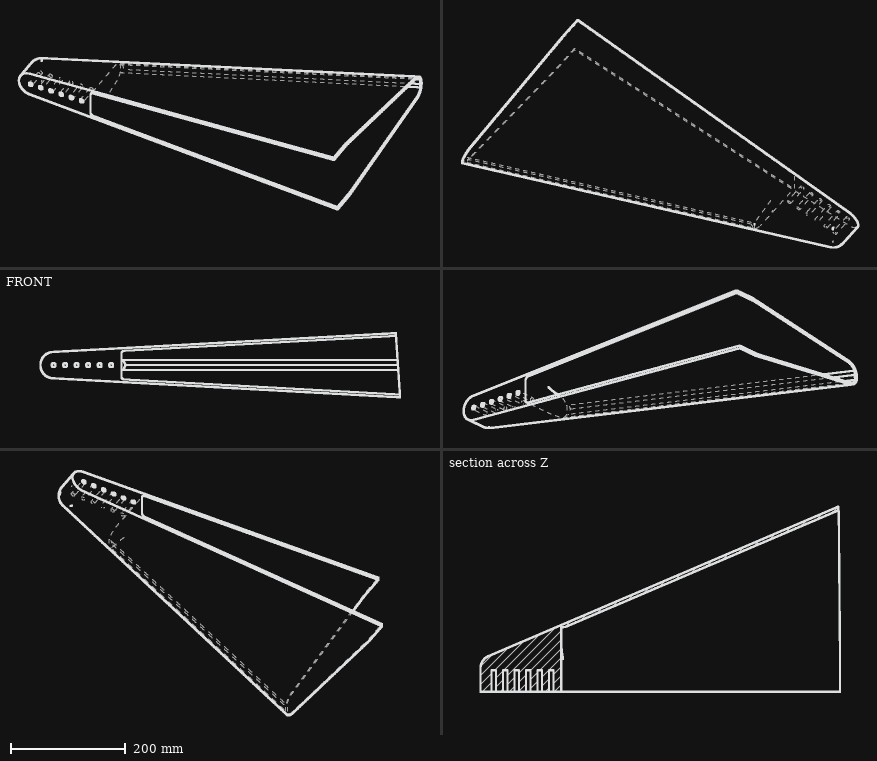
import cadquery as cq
import math

length = 627.0
height = 112.0
depth = 323.0
nose_radius = 23.0
nose_depth = 41.5
end_setback = 7.5
overrun = 19.0

wall = 5.0
channel_radius = 20.0
cavity_x = 141.0
cavity_corner = 5.5
inner_crease_end = 47.5
inner_bend_radius = 44.0
roof_y = 113.0
roof_length = 15.5
ridge_half_width = 9.0
ridge_height = 1.55

hole_diameter = 7.0
hole_pitch = 20.0
hole_count = 6
hole_depth = 37.5

plate_slope = (height / 2 - nose_radius) / (length - end_setback / 2 - nose_radius)
far_x = length + overrun
tip_x = length - end_setback / 2
run = tip_x - nose_radius
rise = depth - nose_depth
sweep_angle = math.atan2(rise, run) - math.asin(nose_radius / math.hypot(run, rise))
sweep_slope = math.tan(sweep_angle)
fan_angle = math.atan(plate_slope / math.sin(sweep_angle))
crease_y = nose_depth + nose_radius * math.tan(fan_angle / 2) / math.cos(sweep_angle)


def plate_z(x):
    """Half height of the outer plates at x."""
    return nose_radius + plate_slope * (x - nose_radius)


def axis_y(x):
    """Depth of the leading edge axis at x."""
    return nose_depth + sweep_slope * (x - nose_radius)


def mirrored_polyhedron(upper):
    """Solid between a flat upper outline, counterclockwise from above, and its mirror image."""
    lower = [(x, y, -z) for x, y, z in upper]
    loops = [upper, lower]
    for i in range(len(upper)):
        j = (i + 1) % len(upper)
        loops.append([upper[i], upper[j], lower[j], lower[i]])
    faces = []
    for loop in loops:
        wire = cq.Wire.makePolygon([cq.Vector(*p) for p in loop], close=True)
        faces.append(cq.Face.makeFromWires(wire))
    return cq.Workplane(cq.Solid.makeSolid(cq.Shell.makeShell(faces)).fix())


def leading_edge_plane():
    """Section plane at the nose: local x points out of the leading edge, local y points down."""
    return cq.Plane(
        origin=(nose_radius, nose_depth, 0),
        xDir=(-math.sin(sweep_angle), math.cos(sweep_angle), 0),
        normal=(math.cos(sweep_angle), math.sin(sweep_angle), 0),
    )


def make_outside():
    band = (
        cq.Workplane("XZ")
        .moveTo(nose_radius, -nose_radius)
        .threePointArc((0, 0), (nose_radius, nose_radius))
        .lineTo(far_x, plate_z(far_x))
        .lineTo(far_x, -plate_z(far_x))
        .close()
        .extrude(-nose_depth)
    )
    strip = mirrored_polyhedron([
        (nose_radius, nose_depth, nose_radius),
        (far_x, nose_depth, plate_z(far_x)),
        (far_x, crease_y, plate_z(far_x)),
        (nose_radius, crease_y, nose_radius),
    ])
    tangent_u = nose_radius * math.sin(fan_angle)
    tangent_v = nose_radius * math.cos(fan_angle)
    fan = mirrored_polyhedron([
        (nose_radius, crease_y, nose_radius),
        (far_x, crease_y, plate_z(far_x)),
        (far_x, axis_y(far_x) + tangent_u / math.cos(sweep_angle), tangent_v),
        (
            nose_radius - tangent_u * math.sin(sweep_angle),
            nose_depth + tangent_u * math.cos(sweep_angle),
            tangent_v,
        ),
    ])
    edge_length = (far_x + nose_radius) / math.cos(sweep_angle)
    edge = cq.Workplane(leading_edge_plane()).circle(nose_radius).extrude(edge_length)
    ball = cq.Workplane("XY").sphere(nose_radius).translate((nose_radius, nose_depth, 0))
    front_space = cq.Workplane("XY").box(
        2 * length, depth, 2 * height, centered=(True, False, True)
    ).translate((0, -depth, 0))
    return band.union(strip).union(fan).union(edge).union(ball).cut(front_space)


def make_cavity():
    start_x = nose_radius + (channel_radius + wall - nose_radius) / plate_slope
    start_y = axis_y(start_x)
    end_z = plate_z(far_x) - wall
    start = (start_x, start_y, channel_radius)
    crease_end = (far_x, inner_crease_end, end_z)
    band = mirrored_polyhedron([
        (start_x, 0, channel_radius),
        (far_x, 0, end_z),
        crease_end,
        start,
    ])
    fan = mirrored_polyhedron([start, crease_end, (far_x, axis_y(far_x), channel_radius)])
    right_side = cq.Workplane("XY").box(
        length, 2 * depth, 2 * height, centered=(False, True, True)
    ).translate((cavity_x, 0, 0))
    body = band.union(fan).intersect(right_side).clean()
    bends = [
        e for e in body.edges().vals()
        if abs(e.Center().y - inner_crease_end) < wall and e.BoundingBox().xlen > length / 2
    ]
    body = body.newObject(bends).fillet(inner_bend_radius)

    flank_u = math.sqrt(channel_radius ** 2 - ridge_half_width ** 2)
    arc_angle = (math.pi / 2 + math.asin(ridge_half_width / channel_radius)) / 2
    mid_u = channel_radius * math.cos(arc_angle)
    mid_v = channel_radius * math.sin(arc_angle)
    channel = (
        cq.Workplane(leading_edge_plane())
        .moveTo(0, -channel_radius)
        .threePointArc((mid_u, -mid_v), (flank_u, -ridge_half_width))
        .lineTo(flank_u - ridge_height, 0)
        .lineTo(flank_u, ridge_half_width)
        .threePointArc((mid_u, mid_v), (0, channel_radius))
        .close()
        .extrude((far_x + nose_radius) / math.cos(sweep_angle))
    )
    roof = cq.Workplane("XY").box(
        roof_length, roof_y, 2 * ridge_half_width, centered=(False, False, True)
    ).translate((cavity_x, 0, 0))
    return body.union(channel.intersect(right_side)).union(roof)


def make_corner_limit():
    """Wedge with rounded corners that bounds the hollow next to the nose block."""
    start_z = plate_z(cavity_x) - wall
    end_z = plate_z(far_x) - wall
    return (
        cq.Workplane("XZ")
        .polyline([(cavity_x, start_z), (far_x, end_z), (far_x, -end_z), (cavity_x, -start_z)])
        .close()
        .extrude(-2 * depth)
        .edges("|Y and <X")
        .fillet(cavity_corner)
    )


def make_holes():
    centers = [(nose_radius + i * hole_pitch, 0) for i in range(hole_count)]
    return cq.Workplane("XZ").pushPoints(centers).circle(hole_diameter / 2).extrude(-hole_depth)


def make_end_limit():
    """Region kept in front of the leaning wide end."""
    lean = end_setback / height
    top_x = length - end_setback - lean * height / 2
    bottom_x = length + lean * height / 2
    return (
        cq.Workplane("XZ")
        .polyline([(-length, -height), (bottom_x, -height), (top_x, height), (-length, height)])
        .close()
        .extrude(-2 * depth)
    )


outside = make_outside().intersect(make_end_limit())
cavity = make_cavity().intersect(make_corner_limit())
result = outside.cut(cavity).cut(make_holes()).clean()